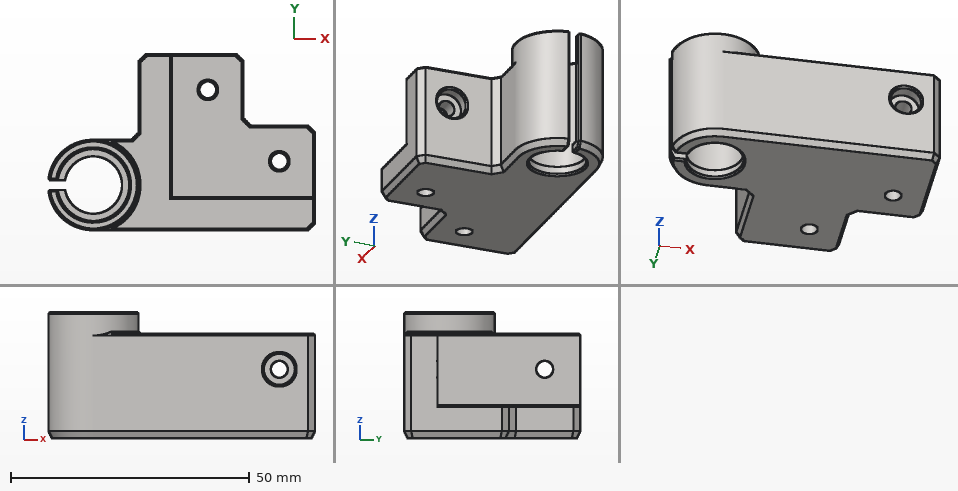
import cadquery as cq
import math


bore_radius = 7.525
wall_thickness = 2.0
ring_radius = bore_radius + wall_thickness
ring_height = 26.5
ledge_bore_radius = 6.0
ledge_height = 2.0
slot_width = 2.0

arm_thickness = 7.0
arm_height = 22.0
arm_reach = 30.0
plate_thickness = 7.0
plate_pad_width = 15.0
bracket_left = ring_radius
bracket_front = -ring_radius
clamp_back = ring_radius

inner_x = bracket_left + arm_thickness
inner_y = bracket_front + arm_thickness
bracket_right = inner_x + arm_reach
bracket_back = inner_y + arm_reach
notch_x = inner_x + plate_pad_width
notch_y = inner_y + plate_pad_width

edge_chamfer = 0.4
corner_chamfer = 1.5
foot_height = 1.5
foot_inset = 0.75
edge_taper = 45.0

screw_radius = 3.5 / 2
head_radius = 6.5 / 2
head_depth = 3.0
side_hole_height = 14.5
pad_center_x = inner_x + plate_pad_width / 2
pad_center_y = inner_y + plate_pad_width / 2
hole_from_end = 7.5
end_hole_x = bracket_right - hole_from_end
end_hole_y = bracket_back - hole_from_end


def outline(z, inset=0.0):
    """Footprint at height z, moved inward by inset: ring end, web and stepped bracket."""
    front = bracket_front + inset
    right = bracket_right - inset
    back = bracket_back - inset
    left = bracket_left + inset
    step_x = notch_x - inset
    step_y = notch_y - inset
    web_back = clamp_back - inset
    leg_change = inset * (2 - math.sqrt(2))
    outer = corner_chamfer - leg_change
    inner = corner_chamfer + leg_change
    return (
        cq.Workplane("XY", origin=(0, 0, z))
        .moveTo(0, front)
        .lineTo(right - outer, front)
        .lineTo(right, front + outer)
        .lineTo(right, step_y - outer)
        .lineTo(right - outer, step_y)
        .lineTo(step_x + inner, step_y)
        .lineTo(step_x, step_y + inner)
        .lineTo(step_x, back - outer)
        .lineTo(step_x - outer, back)
        .lineTo(left + outer, back)
        .lineTo(left, back - outer)
        .lineTo(left, web_back + inner)
        .lineTo(left - inner, web_back)
        .lineTo(0, web_back)
        .threePointArc((-ring_radius + inset, 0), (0, front))
        .close()
    )


def sloped_band(bottom, bottom_inset, top, top_inset):
    """Solid whose sides run straight from one inset of the footprint to another."""
    lower = outline(bottom, bottom_inset).val()
    upper = outline(top, top_inset).val()
    return cq.Workplane(cq.Solid.makeLoft([lower, upper], True))


def footprint_block(top, bevel):
    """Footprint prism with a sloped foot and a 45 degree bevel that ends at height top."""
    bevel_start = top - bevel
    foot = sloped_band(0, foot_inset, foot_height, 0)
    wall = outline(foot_height).extrude(bevel_start - foot_height)
    rim = sloped_band(bevel_start, 0, top, bevel)
    return foot.union(wall).union(rim)


def arm_clearance():
    """Space inside the L of the arms, flared at the top to bevel their inner edges."""
    margin = 10.0
    size_x = bracket_right + margin - inner_x
    size_y = bracket_back + margin - inner_y

    def corner_box(inset, z):
        return cq.Workplane("XY", origin=(inner_x - inset, inner_y - inset, z))

    space = corner_box(0, 0).rect(size_x, size_y, centered=False).extrude(arm_height)
    flare = corner_box(edge_chamfer, arm_height).rect(size_x, size_y, centered=False)
    flare = flare.extrude(-2 * edge_chamfer, taper=edge_taper)
    return space.union(flare)


def clamp_cylinder(radius, bottom, top):
    """Cylinder on the clamp axis, with its seam facing the slot."""
    base = cq.Plane(origin=(0, 0, bottom), xDir=(-1, 0, 0), normal=(0, 0, 1))
    return cq.Workplane(base).circle(radius).extrude(top - bottom)


def ring_with_skirt():
    """Solid ring cylinder with a bevelled skirt where it rises out of the web."""
    post = clamp_cylinder(ring_radius, foot_height, ring_height)
    skirt = (
        cq.Workplane("XY", origin=(0, 0, arm_height))
        .circle(ring_radius + edge_chamfer)
        .extrude(edge_chamfer, taper=edge_taper)
    )
    envelope = footprint_block(arm_height + edge_chamfer, 2 * edge_chamfer)
    return post.union(skirt.intersect(envelope))


def cut_clamp(body):
    """Bore the ring, leave the ledge at its foot, split it and break the edges."""
    ledge_bore = clamp_cylinder(ledge_bore_radius, 0, ledge_height)
    bore = clamp_cylinder(bore_radius, ledge_height, ring_height)
    slot = cq.Workplane("XY").box(
        2 * ring_radius, slot_width, ring_height, centered=(True, True, False)
    )
    slot = slot.translate((-ring_radius, 0, 0))
    body = body.cut(ledge_bore).cut(bore).cut(slot)

    top_edges = body.faces(">Z").edges().vals()
    outer_corners = cq.selectors.BoxSelector(
        (-ring_radius, -slot_width, 0),
        (-ring_radius + foot_inset, slot_width, ring_height),
    )
    outer_edges = body.edges(outer_corners).vals()
    inner_corners = cq.selectors.BoxSelector(
        (-bore_radius, -slot_width, ledge_height + edge_chamfer),
        (-ledge_bore_radius, slot_width, ring_height - edge_chamfer),
    )
    inner_edges = body.edges(inner_corners).vals()
    bore_mouth = cq.selectors.BoxSelector(
        (-ring_radius, -slot_width, -edge_chamfer),
        (ring_radius, slot_width, edge_chamfer),
    )
    mouth_edges = body.edges(bore_mouth).vals()
    edges = top_edges + outer_edges + inner_edges + mouth_edges
    return body.newObject(edges).chamfer(edge_chamfer)


def mouth(radius):
    """45 degree bevel that opens a hole of the given radius at Z = 0."""
    return (
        cq.Workplane("XY")
        .circle(radius + edge_chamfer)
        .extrude(-edge_chamfer, taper=edge_taper)
    )


def plate_hole_cut():
    """Screw hole through the base plate with a bevelled mouth."""
    hole = cq.Workplane("XY").circle(screw_radius).extrude(-plate_thickness)
    return hole.union(mouth(screw_radius))


def counterbored_cut():
    """Screw hole through an arm with a bevelled counterbore for the head."""
    hole = cq.Workplane("XY").circle(screw_radius).extrude(-arm_thickness)
    head = cq.Workplane("XY").circle(head_radius).extrude(-head_depth)
    return hole.union(head).union(mouth(head_radius))


def cut_screw_holes(body):
    """Two holes down through the base plate and one counterbored hole in each arm."""
    for x, y in ((pad_center_x, end_hole_y), (end_hole_x, pad_center_y)):
        body = body.cut(plate_hole_cut().translate((x, y, plate_thickness)))

    front_hole = counterbored_cut().rotate((0, 0, 0), (1, 0, 0), 90)
    body = body.cut(front_hole.translate((end_hole_x, bracket_front, side_hole_height)))

    left_hole = counterbored_cut().rotate((0, 0, 0), (0, 1, 0), -90)
    return body.cut(left_hole.translate((bracket_left, end_hole_y, side_hole_height)))


arms = footprint_block(arm_height, edge_chamfer).cut(arm_clearance())
base_plate = footprint_block(plate_thickness, edge_chamfer)
body = arms.union(base_plate).union(ring_with_skirt())
result = cut_screw_holes(cut_clamp(body))